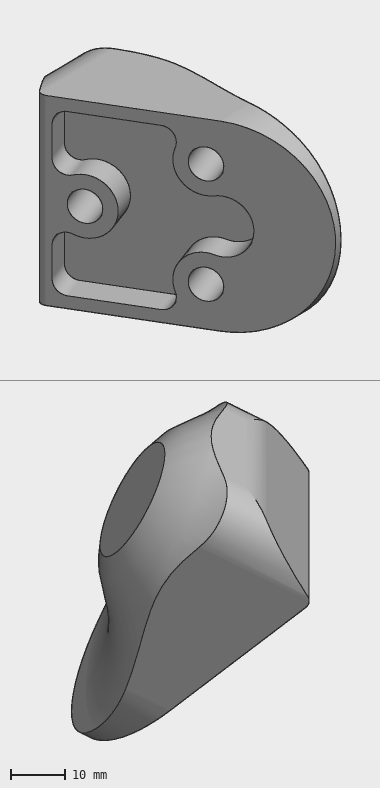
import cadquery as cq
import math

length = 65.45
depth = 32.6
height = 43.0
half_height = height / 2
back_corner_radius = 10.0

heel_blend_start = 19.6
heel_blend_radius = 10.0
heel_angle = math.radians(30)
toe_radius = 2.0
face_angle = math.radians(17)

dome_axis_x = 19.45
crown_radius = 11.7
crown_arc_radius = 20.0
rim_y = 27.2
skirt_arc_radius = 30.0
brim_y = 18.3

rear_hole_x = 18.65
hole_pitch_u = 23.6
hole_offset_z = 12.3
hole_radius = 3.5
front_hole_depth = 12.0
rear_hole_depth = 18.0
drill_half_angle = math.radians(59)

pocket_depth = 7.0
pocket_half_height = 18.85
pocket_rear_u = -6.4
pocket_corner = 3.0
boss_radius = 6.5
lobe_radius = 6.2


def polar(center, radius, angle):
    """Point on a circle at the given angle."""
    return (center[0] + radius * math.cos(angle), center[1] + radius * math.sin(angle))


def mirrored(point):
    """Point reflected across the symmetry line v = 0."""
    return (point[0], -point[1])


def toward(start, end, distance):
    """Point at a distance from start along the line to end."""
    return polar(start, distance, math.atan2(end[1] - start[1], end[0] - start[0]))


def arc_center(start, end, radius):
    """Center of the arc below a falling chord that runs toward +X."""
    run = end[0] - start[0]
    rise = end[1] - start[1]
    chord = math.hypot(run, rise)
    offset = math.sqrt(radius**2 - (chord / 2) ** 2)
    return (
        (start[0] + end[0]) / 2 + rise / chord * offset,
        (start[1] + end[1]) / 2 - run / chord * offset,
    )


heel_end = (
    heel_blend_radius * (1 - math.cos(heel_angle)),
    heel_blend_start - heel_blend_radius * math.sin(heel_angle),
)
heel_mid = (
    heel_blend_radius * (1 - math.cos(heel_angle / 2)),
    heel_blend_start - heel_blend_radius * math.sin(heel_angle / 2),
)
toe_start_y = toe_radius * (1 - math.sin(heel_angle))
toe_start = (heel_end[0] + (heel_end[1] - toe_start_y) * math.tan(heel_angle), toe_start_y)
toe_center = (toe_start[0] + toe_radius * math.cos(heel_angle), toe_radius)
toe_mid = (toe_center[0], 0)
face_start = polar(toe_center, toe_radius, face_angle - math.pi / 2)


def face_y(x):
    """Y of the mounting face at a given X."""
    return face_start[1] + (x - face_start[0]) * math.tan(face_angle)


def make_outline():
    """Full-depth body with rounded rear corners and a semicircular nose."""
    nose_x = length - half_height
    block = cq.Workplane("XZ").rect(nose_x, height).extrude(-depth)
    block = block.translate((nose_x / 2, 0, 0))
    block = block.edges("|Y and <X").fillet(back_corner_radius)
    nose = cq.Workplane("XZ").center(nose_x, 0).circle(half_height).extrude(-depth)
    return block.union(nose)


def make_side_section():
    """Heel, toe and mounting face profile, extruded over the whole height."""
    return (
        cq.Workplane("XY")
        .moveTo(0, depth)
        .lineTo(0, heel_blend_start)
        .threePointArc(heel_mid, heel_end)
        .lineTo(*toe_start)
        .threePointArc(toe_mid, face_start)
        .lineTo(length, face_y(length))
        .lineTo(length, depth)
        .close()
        .extrude(half_height, both=True)
    )


def make_dome():
    """Turned solid: flat crown, convex shoulder, concave skirt and flat brim."""
    crown_edge = (crown_radius, depth)
    rim = (dome_axis_x, rim_y)
    crown_center = arc_center(crown_edge, rim, crown_arc_radius)
    crown_mid = toward(
        crown_center,
        ((crown_edge[0] + rim[0]) / 2, (crown_edge[1] + rim[1]) / 2),
        crown_arc_radius,
    )
    skirt_angle = math.acos(1 - (rim_y - brim_y) / skirt_arc_radius)
    skirt_end = (rim[0] + skirt_arc_radius * math.sin(skirt_angle), brim_y)
    skirt_center = (skirt_end[0], brim_y + skirt_arc_radius)
    skirt_mid = polar(skirt_center, skirt_arc_radius, -math.pi / 2 - skirt_angle / 2)
    return (
        cq.Workplane("XY")
        .lineTo(0, depth)
        .lineTo(*crown_edge)
        .threePointArc(crown_mid, rim)
        .threePointArc(skirt_mid, skirt_end)
        .lineTo(length, brim_y)
        .lineTo(length, 0)
        .close()
        .revolve(360, (0, 0, 0), (0, 1, 0))
        .translate((dome_axis_x, 0, 0))
    )


face_plane = cq.Plane(
    origin=(rear_hole_x, face_y(rear_hole_x), 0),
    xDir=(math.cos(face_angle), math.sin(face_angle), 0),
    normal=(math.sin(face_angle), -math.cos(face_angle), 0),
)


def make_pocket():
    """Pocket bounded by arcs that run tangent into each other and the bosses."""
    rear_boss = (0, 0)
    front_boss = (hole_pitch_u, hole_offset_z)
    blend = boss_radius + pocket_corner

    rear_outer = (pocket_rear_u + pocket_corner, pocket_half_height - pocket_corner)
    rear_inner_u = pocket_rear_u + pocket_corner
    rear_inner = (rear_inner_u, math.sqrt(blend**2 - rear_inner_u**2))
    front_outer_v = pocket_half_height - pocket_corner
    front_outer_run = math.sqrt(blend**2 - (front_outer_v - hole_offset_z) ** 2)
    front_outer = (hole_pitch_u - front_outer_run, front_outer_v)
    lobe_run = math.sqrt((boss_radius + lobe_radius) ** 2 - hole_offset_z**2)
    lobe = (hole_pitch_u + lobe_run, 0)

    rear_touch = toward(rear_boss, rear_inner, boss_radius)
    corner_touch = toward(front_boss, front_outer, boss_radius)
    lobe_touch = toward(front_boss, lobe, boss_radius)

    rear_top = polar(rear_outer, pocket_corner, math.pi / 2)
    rear_top_mid = polar(rear_outer, pocket_corner, 3 * math.pi / 4)
    rear_side = polar(rear_outer, pocket_corner, math.pi)
    inner_side = polar(rear_inner, pocket_corner, math.pi)
    inner_mid = polar(rear_inner, pocket_corner, -3 * math.pi / 4)
    front_top = polar(front_outer, pocket_corner, math.pi / 2)
    front_corner_mid = polar(front_outer, pocket_corner, math.pi / 6)
    boss_mid = polar(front_boss, boss_radius, -3 * math.pi / 4)
    lobe_tip = polar(lobe, lobe_radius, 0)

    return (
        cq.Workplane(face_plane)
        .moveTo(boss_radius, 0)
        .threePointArc(polar(rear_boss, boss_radius, math.pi / 4), rear_touch)
        .threePointArc(inner_mid, inner_side)
        .lineTo(*rear_side)
        .threePointArc(rear_top_mid, rear_top)
        .lineTo(*front_top)
        .threePointArc(front_corner_mid, corner_touch)
        .threePointArc(boss_mid, lobe_touch)
        .threePointArc(lobe_tip, mirrored(lobe_touch))
        .threePointArc(mirrored(boss_mid), mirrored(corner_touch))
        .threePointArc(mirrored(front_corner_mid), mirrored(front_top))
        .lineTo(*mirrored(rear_top))
        .threePointArc(mirrored(rear_top_mid), mirrored(rear_side))
        .lineTo(*mirrored(inner_side))
        .threePointArc(mirrored(inner_mid), mirrored(rear_touch))
        .threePointArc(polar(rear_boss, boss_radius, -math.pi / 4), (boss_radius, 0))
        .close()
        .extrude(-pocket_depth)
    )


def make_hole(u, v, straight_depth):
    """Blind hole with a conical drill point, at (u, v) on the mounting face."""
    tip_depth = straight_depth + hole_radius / math.tan(drill_half_angle)
    drill = (
        cq.Workplane("XZ")
        .lineTo(hole_radius, 0)
        .lineTo(hole_radius, -straight_depth)
        .lineTo(0, -tip_depth)
        .close()
        .revolve(360, (0, 0, 0), (0, 1, 0))
        .translate((u, v, 0))
    )
    return cq.Workplane(drill.val().moved(cq.Location(face_plane)))


body = make_outline().intersect(make_side_section()).intersect(make_dome())
part = body.cut(make_pocket())
holes = [
    (0, 0, rear_hole_depth),
    (hole_pitch_u, hole_offset_z, front_hole_depth),
    (hole_pitch_u, -hole_offset_z, front_hole_depth),
]
for hole_u, hole_v, hole_depth in holes:
    part = part.cut(make_hole(hole_u, hole_v, hole_depth))

result = part